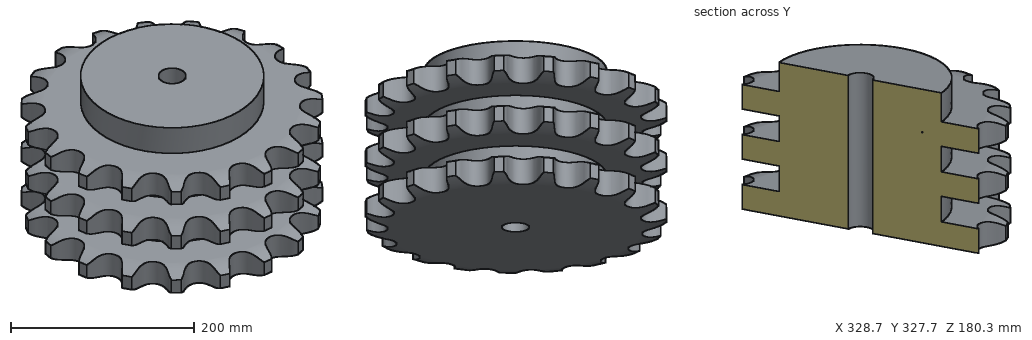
import cadquery as cq
import math

tooth_count = 19
outer_width = 328.7
pitch_radius = 154.0
roller_diameter = 29.3

disc_count = 3
disc_thickness = 29.3
disc_spacing = 58.5
relief_start_radius = 140.5
relief_arc_radius = 51.0
blank_margin = 0.3

hub_diameter = 200.0
hub_projection = 34.0
bore_diameter = 30.0

total_height = (disc_count - 1) * disc_spacing + disc_thickness + hub_projection

half_pitch_angle = math.radians(180 / tooth_count)
seat_radius = 0.5025 * roller_diameter
seat_half_angle = math.radians(35 + 60 / tooth_count)
working_arc_angle = math.radians(18 - 56 / tooth_count)
working_center_distance = 0.8 * roller_diameter
working_radius = working_center_distance + seat_radius
topping_center_distance = 1.4 * roller_diameter


def polar(center, radius, angle):
    return (center[0] + radius * math.cos(angle), center[1] + radius * math.sin(angle))


def rotate(point, angle):
    x, y = point
    return (x * math.cos(angle) - y * math.sin(angle), x * math.sin(angle) + y * math.cos(angle))


def angle_from(center, point):
    return math.atan2(point[1] - center[1], point[0] - center[0])


seat_center = (0, pitch_radius)
seat_bottom = (0, pitch_radius - seat_radius)
seat_end = polar(seat_center, seat_radius, -seat_half_angle)

working_center = polar(seat_center, -working_center_distance, -seat_half_angle)
straight_normal = working_arc_angle - seat_half_angle
working_middle = polar(working_center, working_radius, straight_normal - working_arc_angle / 2)
straight_start = polar(working_center, working_radius, straight_normal)

topping_center = polar(seat_center, topping_center_distance, -half_pitch_angle)
offset_x = topping_center[0] - straight_start[0]
offset_y = topping_center[1] - straight_start[1]
topping_radius, straight_length = rotate((offset_x, offset_y), -straight_normal)
straight_end = polar(straight_start, straight_length, straight_normal + math.pi / 2)

gap_to_x_axis = -math.pi / 2 - half_pitch_angle / 2
mirrored_topping_center = (-topping_center[0], topping_center[1])
widest_center = rotate(mirrored_topping_center, gap_to_x_axis)
widest_x = outer_width / 2
widest_y = widest_center[1] - math.sqrt(topping_radius**2 - (widest_x - widest_center[0]) ** 2)
tip_radius = math.hypot(widest_x, widest_y)

left_corner = rotate((widest_x, widest_y), -gap_to_x_axis)
tip_corner = (-left_corner[0], left_corner[1])
topping_middle_angle = (
    angle_from(topping_center, straight_end) + angle_from(topping_center, tip_corner)
) / 2
topping_middle = polar(topping_center, topping_radius, topping_middle_angle)
tip_middle = polar((0, 0), tip_radius, math.pi / 2 - half_pitch_angle)


def make_tooth_outline():
    """Closed outline running clockwise, one gap and one tooth tip at a time."""
    outline = cq.Workplane("XY").moveTo(-tip_corner[0], tip_corner[1])
    for index in range(tooth_count):
        turn = -2 * half_pitch_angle * index

        def right(point):
            return rotate(point, turn)

        def left(point):
            return rotate((-point[0], point[1]), turn)

        outline = (
            outline.threePointArc(left(topping_middle), left(straight_end))
            .lineTo(*left(straight_start))
            .threePointArc(left(working_middle), left(seat_end))
            .threePointArc(right(seat_bottom), right(seat_end))
            .threePointArc(right(working_middle), right(straight_start))
            .lineTo(*right(straight_end))
            .threePointArc(right(topping_middle), right(tip_corner))
        )
        next_corner = rotate((-tip_corner[0], tip_corner[1]), turn - 2 * half_pitch_angle)
        outline = outline.threePointArc(right(tip_middle), next_corner)
    return outline.close()


def make_relieved_blank():
    """Round disc whose faces curve towards each other beyond the relief radius."""
    blank_radius = tip_radius + blank_margin
    arc_angle = math.asin((blank_radius - relief_start_radius) / relief_arc_radius)
    rim_drop = relief_arc_radius * (1 - math.cos(arc_angle))
    middle_radius = relief_start_radius + relief_arc_radius * math.sin(arc_angle / 2)
    middle_drop = relief_arc_radius * (1 - math.cos(arc_angle / 2))
    return (
        cq.Workplane("XZ")
        .lineTo(relief_start_radius, 0)
        .threePointArc((middle_radius, middle_drop), (blank_radius, rim_drop))
        .lineTo(blank_radius, disc_thickness - rim_drop)
        .threePointArc(
            (middle_radius, disc_thickness - middle_drop),
            (relief_start_radius, disc_thickness),
        )
        .lineTo(0, disc_thickness)
        .close()
        .revolve(360, (0, 0, 0), (0, 1, 0))
    )


toothed_disc = make_tooth_outline().extrude(disc_thickness).intersect(make_relieved_blank())

sprocket = cq.Workplane("XY").circle(hub_diameter / 2).extrude(total_height)
for level in range(disc_count):
    sprocket = sprocket.union(toothed_disc.translate((0, 0, level * disc_spacing)))

bore = cq.Workplane("XY").circle(bore_diameter / 2).extrude(total_height)
result = sprocket.cut(bore)